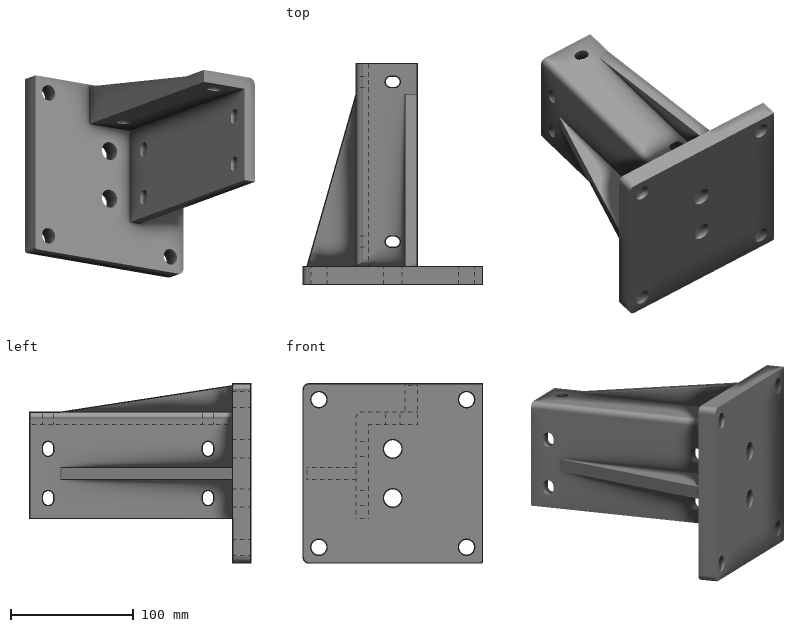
import cadquery as cq

plate_size = 146.0
plate_thickness = 15.0
plate_corner_radius = 5.0
small_corner_radius = 1.8
plate_hole_diameter = 13.0
plate_hole_inset = 13.0
center_hole_diameter = 15.0

total_depth = 180.0
bar_width = 50.0
bar_height = 86.8
leg_thickness = 10.0
bend_radius = 5.0
bar_left_inset = 43.0
bar_top_inset = 23.0

slot_length = 12.0
slot_width = 9.0
slot_end_inset = 15.1
slot_row_spacing = 130.0
hole_pitch = 40.0

rib_thickness = 10.0
rib_tip_inset = 25.5
side_rib_edge_gap = 3.2
top_rib_edge_gap = 1.6

half_plate = plate_size / 2
bar_left = -half_plate + bar_left_inset
bar_right = bar_left + bar_width
bar_top = half_plate - bar_top_inset
bar_bottom = bar_top - bar_height
rib_tip_y = total_depth - rib_tip_inset
slot_rows = [total_depth - slot_end_inset - row * slot_row_spacing for row in range(2)]
pair_heights = [-hole_pitch / 2, hole_pitch / 2]


def box_between(low, high):
    """Box spanned by two opposite corners."""
    size = [b - a for a, b in zip(low, high)]
    return cq.Workplane("XY").box(*size, centered=False).translate(low)


def make_plate():
    half_hole_span = half_plate - plate_hole_inset
    corners = [(x, z) for x in (-half_hole_span, half_hole_span) for z in (-half_hole_span, half_hole_span)]
    plate = box_between((-half_plate, 0, -half_plate), (half_plate, plate_thickness, half_plate))
    plate = plate.edges("|Y and <X").fillet(plate_corner_radius)
    plate = plate.edges("|Y and >X").edges("<Z").fillet(small_corner_radius)
    corner_holes = cq.Workplane("XZ").pushPoints(corners).circle(plate_hole_diameter / 2)
    center_holes = cq.Workplane("XZ").pushPoints([(0, z) for z in pair_heights])
    center_holes = center_holes.circle(center_hole_diameter / 2)
    return plate.cut(corner_holes.extrude(-plate_thickness)).cut(center_holes.extrude(-plate_thickness))


def make_angle_bar():
    bar = box_between((bar_left, plate_thickness, bar_bottom), (bar_right, total_depth, bar_top))
    bar = bar.edges("|Y and <X").edges(">Z").fillet(bend_radius)
    opening = box_between(
        (bar_left + leg_thickness, plate_thickness, bar_bottom),
        (bar_right, total_depth, bar_top - leg_thickness),
    )
    return bar.cut(opening)


def make_slots():
    side_points = [(y, z) for y in slot_rows for z in pair_heights]
    side = cq.Workplane("YZ", origin=(bar_left, 0, 0)).pushPoints(side_points)
    side = side.slot2D(slot_length, slot_width, 90).extrude(leg_thickness)
    top = cq.Workplane("XY", origin=(0, 0, bar_top)).pushPoints([(0, y) for y in slot_rows])
    top = top.slot2D(slot_length, slot_width).extrude(-leg_thickness)
    return side.union(top)


def make_side_rib():
    outline = [
        (bar_left, plate_thickness),
        (bar_left, rib_tip_y),
        (-half_plate + side_rib_edge_gap, plate_thickness),
    ]
    return cq.Workplane("XY").polyline(outline).close().extrude(rib_thickness / 2, both=True)


def make_top_rib():
    outline = [
        (plate_thickness, bar_top),
        (rib_tip_y, bar_top),
        (plate_thickness, half_plate - top_rib_edge_gap),
    ]
    return cq.Workplane("YZ", origin=(bar_right, 0, 0)).polyline(outline).close().extrude(-rib_thickness)


result = make_plate().union(make_angle_bar()).cut(make_slots())
result = result.union(make_side_rib()).union(make_top_rib())